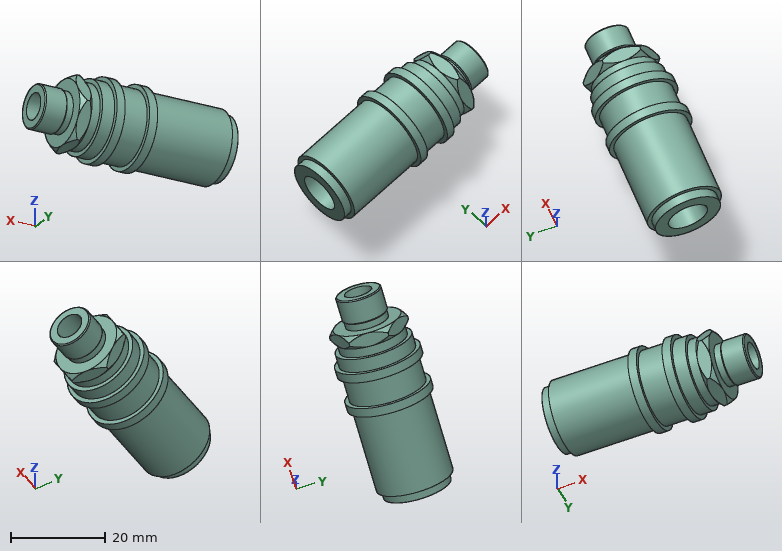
import cadquery as cq
import math

overall_length = 46.0
nose_end = 2.0
first_collar_start = 21.0
second_collar_start = 29.0
collar_width = 2.0
body_end = 34.0
hex_start = 36.0
hex_end = 39.0
relief_end = 40.5

nose_diameter = 15.0
body_diameter = 17.0
collar_diameter = 19.0
spigot_diameter = 10.0
relief_diameter = 9.5
through_bore_diameter = 6.0
socket_diameter = 9.0

hex_across_flats = nose_diameter
socket_depth = first_collar_start

spigot_chamfer = (spigot_diameter - relief_diameter) / 2


def cylinder(start, end, diameter):
    """Cylinder on the X axis between two stations."""
    return cq.Workplane("YZ").workplane(offset=start).circle(diameter / 2).extrude(end - start)


def make_body():
    """Stepped barrel with two raised collars."""
    body = cylinder(0, hex_start, nose_diameter)
    body = body.union(cylinder(nose_end, body_end, body_diameter))
    for start in (first_collar_start, second_collar_start):
        body = body.union(cylinder(start, start + collar_width, collar_diameter))
    return body


def make_hexagon():
    """Hexagon with flats facing +Z and -Z and corners chamfered at 45 degrees on both faces."""
    width = hex_end - hex_start
    corner_radius = hex_across_flats / 2 / math.cos(math.pi / 6)
    corners = [
        (corner_radius * math.cos(i * math.pi / 3), corner_radius * math.sin(i * math.pi / 3))
        for i in range(6)
    ]
    prism = (
        cq.Workplane("YZ")
        .workplane(offset=hex_start)
        .polyline(corners)
        .close()
        .extrude(width)
    )
    face_radius = hex_across_flats / 2
    peak_radius = face_radius + width / 2
    envelope = (
        cq.Workplane("XY")
        .moveTo(hex_start, 0)
        .lineTo(hex_start, face_radius)
        .lineTo(hex_start + width / 2, peak_radius)
        .lineTo(hex_end, face_radius)
        .lineTo(hex_end, 0)
        .close()
        .revolve(360, (0, 0, 0), (1, 0, 0))
    )
    return prism.intersect(envelope)


def make_spigot():
    """Spigot chamfered at both ends, behind a relief groove."""
    relief = cylinder(hex_end, relief_end, relief_diameter)
    spigot = cylinder(relief_end, overall_length, spigot_diameter)
    spigot = spigot.faces("<X or >X").chamfer(spigot_chamfer)
    return relief.union(spigot)


def cut_bores(part):
    """Through bore and the wider socket at the open end."""
    part = part.cut(cylinder(0, overall_length, through_bore_diameter))
    return part.cut(cylinder(0, socket_depth, socket_diameter))


result = cut_bores(make_body().union(make_hexagon()).union(make_spigot()))